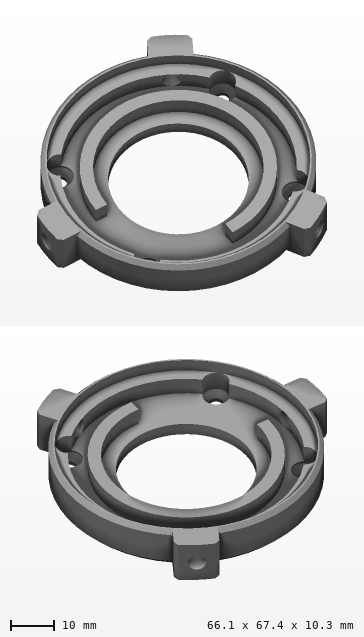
import cadquery as cq
import math

height = 10.3
body_radius = 31.4
top_chamfer = 1.0
bottom_chamfer_height = 1.7
bottom_chamfer_width = 1.55

rim_diameter = 60
rim_radius = rim_diameter / 2
ledge_radius = 26.95
bore_diameter = 32.0
bore_radius = bore_diameter / 2
floor_height = 3.0
ledge_height = 7.3

wall_outer_radius = 22.45
wall_inner_radius = 19.4
wall_top = ledge_height

overall_length = 67.4
lug_radius = overall_length - body_radius
lug_width = 10.4
lug_chamfer = 1.0
lug_angles = (30, 150, 270)
lug_hole_diameter = 4.2
lug_hole_height = height / 2

screw_angles = (48.5, 124.8, -124.8, -48.5)
screw_diameter = 3.2
screw_head_diameter = 6.2
screw_circle_radius = rim_radius - screw_head_diameter / 2
head_recess = 0.55
countersink_depth = (screw_head_diameter - screw_diameter) / 2


def cylinder(radius, bottom, top):
    return cq.Workplane("XY").workplane(offset=bottom).circle(radius).extrude(top - bottom)


def ring_body():
    """Solid disc with a chamfer around each outer edge."""
    return (
        cq.Workplane("XZ")
        .moveTo(0, 0)
        .lineTo(body_radius - bottom_chamfer_width, 0)
        .lineTo(body_radius, bottom_chamfer_height)
        .lineTo(body_radius, height - top_chamfer)
        .lineTo(body_radius - top_chamfer, height)
        .lineTo(0, height)
        .close()
        .revolve(360, (0, 0), (0, 1))
    )


def lug(angle):
    """Full-height block with a curved end face and chamfered upright edges."""
    block = cq.Workplane("XY").box(lug_radius, lug_width, height, centered=(False, True, False))
    block = block.intersect(cylinder(lug_radius, 0, height))
    block = block.edges("|Z").edges(">X").chamfer(lug_chamfer)
    return block.rotate((0, 0, 0), (0, 0, 1), angle)


def curved_wall():
    """Wall running counterclockwise from +X to -Y, open in the +X -Y quadrant."""
    wall = cylinder(wall_outer_radius, floor_height, wall_top)
    wall = wall.cut(cylinder(wall_inner_radius, floor_height, wall_top))
    opening = cq.Workplane("XY").workplane(offset=floor_height).rect(
        wall_outer_radius, -wall_outer_radius, centered=False
    ).extrude(wall_top - floor_height)
    return wall.cut(opening)


def lug_hole(angle):
    """Radial hole from the lug's end face into the ring's interior."""
    start = (wall_outer_radius + ledge_radius) / 2
    hole = (
        cq.Workplane("YZ", origin=(start, 0, lug_hole_height))
        .circle(lug_hole_diameter / 2)
        .extrude(lug_radius - start)
    )
    return hole.rotate((0, 0, 0), (0, 0, 1), angle)


def screw_hole(angle):
    """Through hole, 90 degree countersink below the floor and head clearance through the ledge."""
    shank_radius = screw_diameter / 2
    head_radius = screw_head_diameter / 2
    countersink_top = floor_height - head_recess
    profile = (
        cq.Workplane("XZ")
        .moveTo(0, 0)
        .lineTo(shank_radius, 0)
        .lineTo(shank_radius, countersink_top - countersink_depth)
        .lineTo(head_radius, countersink_top)
        .lineTo(head_radius, ledge_height)
        .lineTo(0, ledge_height)
        .close()
        .revolve(360, (0, 0), (0, 1))
    )
    x = screw_circle_radius * math.cos(math.radians(angle))
    y = screw_circle_radius * math.sin(math.radians(angle))
    return profile.translate((x, y, 0))


result = ring_body()
for lug_angle in lug_angles:
    result = result.union(lug(lug_angle))

result = result.cut(cylinder(rim_radius, ledge_height, height))
result = result.cut(cylinder(ledge_radius, floor_height, ledge_height))
result = result.cut(cylinder(bore_radius, 0, floor_height))
result = result.union(curved_wall())

for lug_angle in lug_angles:
    result = result.cut(lug_hole(lug_angle))
for screw_angle in screw_angles:
    result = result.cut(screw_hole(screw_angle))